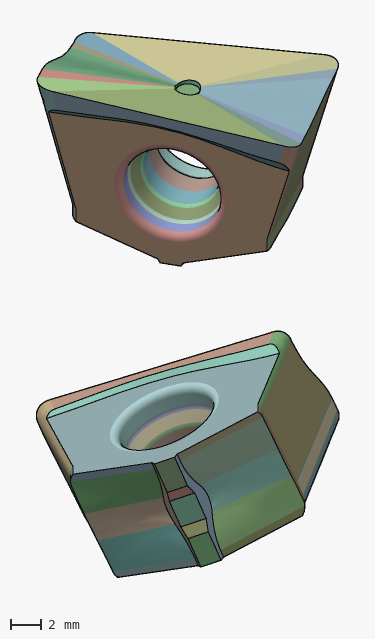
import cadquery as cq
import math

V = cq.Vector

TOP_Z = 6.95
APEX_Z = 5.65
SHANK_Z = -2.45
KEY_ROOT_Z = -5.41
BOTTOM_Z = -5.7
BLANK_TOP_Z = TOP_Z + 0.5

TOP_HALF_LENGTH = 9.46
SHANK_HALF_LENGTH = 6.97
SIDE_MEAN_Y = 4.6
SIDE_TILT = 0.0125
LAND_EDGE_Y = 2.15
FLANK_TILT = 0.031
LAND_BLEND_RADIUS = 4.0
ACUTE_RADIUS_TOP = 1.37
ACUTE_RADIUS_SHANK = 1.24
OBTUSE_RADIUS = 0.93
BODY_HALF_WIDTH = 4.25

HOLE_RADIUS = 2.62
SEAT_RADIUS = 3.35
MOUTH_RADIUS = 3.87
SEAT_DEPTH = 1.43
SEAT_CONE_ANGLE = 37
SEAT_BLEND_RADIUS = 0.52

DIMPLE_RADIUS = 0.85
DIMPLE_FLOOR_RADIUS = 0.53
DIMPLE_WALL_FOOT_RADIUS = 0.8
DIMPLE_WALL_DEPTH = 0.17
DIMPLE_DEPTH = 0.25

UNDERSIDE_SLOPE = 0.35
KEY_ROOT_HALF = 0.9
KEY_FOOT_HALF = 0.72
HOLLOW_HALF_WIDTH = 3.7
HOLLOW_INFLECTION_Y = 1.1
HOLLOW_INNER_RISE = 0.79
HOLLOW_OUTER_RISE = -0.16
KEY_NOTCH_FLOOR_HALF = 1.05
KEY_NOTCH_HALF = 1.9

CLEARANCE = 2.0


def half_turn(shape):
    return shape.rotate(V(0, 0, 0), V(0, 0, 1), 180)


def side_y(x):
    """Y of the -Y side of the plan outline."""
    return -(SIDE_MEAN_Y + SIDE_TILT * x)


def plan_outline(z, half_length, acute_radius):
    """Rounded parallelogram plan with an end land beside each acute corner."""
    acute = V(-half_length, side_y(-half_length), z)
    land_end = V(-half_length, -LAND_EDGE_Y, z)
    flank_x = half_length - FLANK_TILT * (SIDE_MEAN_Y + LAND_EDGE_Y)
    obtuse = V(-flank_x, -side_y(flank_x), z)
    rounds = ((acute, acute_radius), (land_end, LAND_BLEND_RADIUS), (obtuse, OBTUSE_RADIUS))
    corners = [corner for corner, _ in rounds]
    opposite = [V(-c.x, -c.y, z) for c in corners]
    wire = cq.Wire.makePolygon(corners + opposite, close=True)
    for corner, radius in rounds:
        for target in (corner, V(-corner.x, -corner.y, z)):
            nearest = min(wire.Vertices(), key=lambda v: (v.Center() - target).Length)
            wire = wire.fillet2D(radius, [nearest])
    return wire


def make_blank():
    """Tapered upper body over a straight shank."""
    taper = (TOP_HALF_LENGTH - SHANK_HALF_LENGTH) / (TOP_Z - SHANK_Z)
    blank_half_length = TOP_HALF_LENGTH + taper * (BLANK_TOP_Z - TOP_Z)
    shank_plan = plan_outline(SHANK_Z, SHANK_HALF_LENGTH, ACUTE_RADIUS_SHANK)
    top_plan = plan_outline(BLANK_TOP_Z, blank_half_length, ACUTE_RADIUS_TOP)
    upper = cq.Solid.makeLoft([shank_plan, top_plan], True)
    shank = cq.Solid.extrudeLinear(shank_plan, [], V(0, 0, BOTTOM_Z - SHANK_Z))
    return cq.Workplane(upper).union(cq.Workplane(shank))


ACUTE_RIM_X = -8.09
ACUTE_RIM_Z = 6.91
OBTUSE_RIM_X = -7.92
OBTUSE_RIM_Z = 5.6
ACUTE_RIM = V(ACUTE_RIM_X, side_y(ACUTE_RIM_X), ACUTE_RIM_Z)
OBTUSE_RIM = V(OBTUSE_RIM_X, -side_y(-OBTUSE_RIM_X), OBTUSE_RIM_Z)
LAND_RIM = ((-3.13, 6.91), (-2.1, 6.87))
RIM_INFLECTION = (0, 6.28)
VALLEY_RIM = ((3.09, 5.37), (3.96, 5.3))
RAY_START = 0.05
RAY_END = 1.25


def on_ray(point, share):
    """Point at the given share of the way from the apex to a rim point."""
    return V(share * point.x, share * point.y, APEX_Z + share * (point.z - APEX_Z))


def above(point):
    return V(point.x, point.y, BLANK_TOP_Z + CLEARANCE)


def end_section(share):
    """Region above the S-shaped end profile, at a share of the distance to the -X end."""
    acute = on_ray(ACUTE_RIM, TOP_HALF_LENGTH / -ACUTE_RIM.x)
    obtuse = on_ray(OBTUSE_RIM, TOP_HALF_LENGTH / -OBTUSE_RIM.x)
    inner_rim = [V(-TOP_HALF_LENGTH, y, z) for y, z in (*LAND_RIM, RIM_INFLECTION, *VALLEY_RIM)]
    rim = [on_ray(p, share) for p in [acute] + inner_rim + [obtuse]]
    start, land_outer, land_inner, inflection, valley_inner, valley_outer, end = rim
    wave = cq.Edge.makeSpline(
        [land_inner, inflection, valley_inner],
        tangents=[land_inner - land_outer, valley_outer - valley_inner],
    )
    return cq.Wire.assembleEdges([
        cq.Edge.makeLine(start, land_outer),
        cq.Edge.makeLine(land_outer, land_inner),
        wave,
        cq.Edge.makeLine(valley_inner, valley_outer),
        cq.Edge.makeLine(valley_outer, end),
        cq.Edge.makeLine(end, above(end)),
        cq.Edge.makeLine(above(end), above(start)),
        cq.Edge.makeLine(above(start), start),
    ])


def side_section(share):
    """Region above the straight -Y rim, at a share of the distance to the side."""
    opposite = V(-OBTUSE_RIM.x, -OBTUSE_RIM.y, OBTUSE_RIM.z)
    start, end = [on_ray(p, -share * SIDE_MEAN_Y / p.y) for p in (ACUTE_RIM, opposite)]
    return cq.Wire.makePolygon([start, end, above(end), above(start)], close=True)


def cut_chip_face(body):
    """Two wavy end sectors and two flat side sectors make up the face."""
    for section in (end_section, side_section):
        sector = cq.Solid.makeLoft([section(RAY_START), section(RAY_END)], True)
        body = body.cut(cq.Workplane(sector)).cut(cq.Workplane(half_turn(sector)))
    return body


def cut_dimple(body):
    """Shallow round bowl with a flat floor, which also clears the meeting point of the rays."""
    wall_foot_z = APEX_Z - DIMPLE_WALL_DEPTH
    floor_z = APEX_Z - DIMPLE_DEPTH
    profile = (
        cq.Workplane("XZ")
        .moveTo(0, floor_z)
        .lineTo(DIMPLE_FLOOR_RADIUS, floor_z)
        .tangentArcPoint((DIMPLE_WALL_FOOT_RADIUS, wall_foot_z), relative=False)
        .lineTo(DIMPLE_RADIUS, APEX_Z)
        .lineTo(DIMPLE_RADIUS, BLANK_TOP_Z + CLEARANCE)
        .lineTo(0, BLANK_TOP_Z + CLEARANCE)
        .close()
    )
    return body.cut(profile.revolve(360, (0, 0, 0), (0, 1, 0)))


BAND_EDGE = (
    (-10.0, 5.12, 5.5),
    (-6.0, 5.09, 5.5),
    (-2.4, 5.22, 5.6),
    (2.0, 4.77, 5.17),
    (6.0, 3.74, 4.4),
    (10.0, 3.2, 4.05),
)
BAND_OVERSHOOT = 1.8


def band_section(outward):
    """Region under the band edge: outward is 0 at the body wall and 1 at the band face."""
    points = []
    for x, wall_z, face_z in BAND_EDGE:
        y = -BODY_HALF_WIDTH + outward * (side_y(x) + BODY_HALF_WIDTH)
        points.append(V(x, y, wall_z + outward * (face_z - wall_z)))
    start, end = points[0], points[-1]
    low_z = BOTTOM_Z - CLEARANCE
    start_low = V(start.x, start.y, low_z)
    end_low = V(end.x, end.y, low_z)
    return cq.Wire.assembleEdges([
        cq.Edge.makeSpline(points),
        cq.Edge.makeLine(end, end_low),
        cq.Edge.makeLine(end_low, start_low),
        cq.Edge.makeLine(start_low, start),
    ])


def cut_side_walls(body):
    """Flat walls under a bevelled, wavy cutting band on both sides."""
    wall = cq.Solid.makeLoft([band_section(0), band_section(BAND_OVERSHOOT)], True)
    return body.cut(cq.Workplane(wall)).cut(cq.Workplane(half_turn(wall)))


def hollow_section(x):
    """Region under the sloping underside at one X: flat shoulders and a wavy middle."""
    run = (x - KEY_ROOT_HALF) / (SHANK_HALF_LENGTH - KEY_ROOT_HALF)
    base_z = KEY_ROOT_Z + UNDERSIDE_SLOPE * (x - KEY_ROOT_HALF)
    rise = HOLLOW_INNER_RISE + run * (HOLLOW_OUTER_RISE - HOLLOW_INNER_RISE)
    inflection_z = base_z + rise * (1 - HOLLOW_INFLECTION_Y / HOLLOW_HALF_WIDTH)
    reach = SIDE_MEAN_Y + CLEARANCE
    return (
        cq.Workplane("YZ", origin=(x, 0, 0))
        .moveTo(-reach, base_z)
        .lineTo(-HOLLOW_HALF_WIDTH, base_z)
        .tangentArcPoint((-HOLLOW_INFLECTION_Y, inflection_z), relative=False)
        .threePointArc((0, base_z + rise), (HOLLOW_INFLECTION_Y, inflection_z))
        .tangentArcPoint((HOLLOW_HALF_WIDTH, base_z), relative=False)
        .lineTo(reach, base_z)
        .lineTo(reach, BOTTOM_Z - CLEARANCE)
        .lineTo(-reach, BOTTOM_Z - CLEARANCE)
        .close()
        .val()
    )


def key_block():
    """Central key across the underside, with side faces that flare upward."""
    flare = (KEY_ROOT_HALF - KEY_FOOT_HALF) / (KEY_ROOT_Z - BOTTOM_Z)
    shoulder_half = KEY_FOOT_HALF + flare * (SHANK_Z - BOTTOM_Z)
    return (
        cq.Workplane("XZ")
        .polyline([
            (-KEY_FOOT_HALF, BOTTOM_Z),
            (KEY_FOOT_HALF, BOTTOM_Z),
            (shoulder_half, SHANK_Z),
            (-shoulder_half, SHANK_Z),
        ])
        .close()
        .extrude(SIDE_MEAN_Y + CLEARANCE, both=True)
        .val()
    )


def cut_underside(body):
    """Hollowed slopes on both sides of the key, and a notch across its foot."""
    outer_x = SHANK_HALF_LENGTH + CLEARANCE
    hollow = cq.Solid.makeLoft([hollow_section(KEY_FOOT_HALF), hollow_section(outer_x)], True).cut(key_block())
    body = body.cut(cq.Workplane(hollow)).cut(cq.Workplane(half_turn(hollow)))
    notch = (
        cq.Workplane("YZ")
        .polyline([
            (-KEY_NOTCH_HALF, BOTTOM_Z),
            (-KEY_NOTCH_FLOOR_HALF, KEY_ROOT_Z),
            (KEY_NOTCH_FLOOR_HALF, KEY_ROOT_Z),
            (KEY_NOTCH_HALF, BOTTOM_Z),
        ])
        .close()
        .extrude(KEY_ROOT_HALF + CLEARANCE, both=True)
    )
    return body.cut(notch)


def cut_screw_hole(body):
    """Through hole along Y, with a rounded mouth and screw seat at both sides."""
    slope = math.radians(SEAT_CONE_ANGLE)
    blend_inset = SEAT_BLEND_RADIUS * (1 - math.cos(slope))
    blend_length = SEAT_BLEND_RADIUS * math.sin(slope)
    seat_y = BODY_HALF_WIDTH - SEAT_DEPTH
    cone_outer = (SEAT_RADIUS - blend_inset, seat_y - blend_length)
    cone_inner_radius = HOLE_RADIUS + blend_inset
    cone_length = (cone_outer[0] - cone_inner_radius) / math.tan(slope)
    cone_inner = (cone_inner_radius, cone_outer[1] - cone_length)
    mouth_y = BODY_HALF_WIDTH - (MOUTH_RADIUS - SEAT_RADIUS)
    half_profile = (
        cq.Workplane("XY")
        .lineTo(HOLE_RADIUS, 0)
        .lineTo(HOLE_RADIUS, cone_inner[1] - blend_length)
        .tangentArcPoint(cone_inner, relative=False)
        .lineTo(*cone_outer)
        .tangentArcPoint((SEAT_RADIUS, seat_y), relative=False)
        .lineTo(SEAT_RADIUS, mouth_y)
        .tangentArcPoint((MOUTH_RADIUS, BODY_HALF_WIDTH), relative=False)
        .lineTo(MOUTH_RADIUS, BODY_HALF_WIDTH + CLEARANCE)
        .lineTo(0, BODY_HALF_WIDTH + CLEARANCE)
        .close()
    )
    half_hole = half_profile.revolve(360, (0, 0, 0), (0, 1, 0))
    return body.cut(half_hole).cut(half_hole.mirror("XZ"))


result = make_blank()
result = cut_chip_face(result)
result = cut_dimple(result)
result = cut_side_walls(result)
result = cut_underside(result)
result = cut_screw_hole(result)